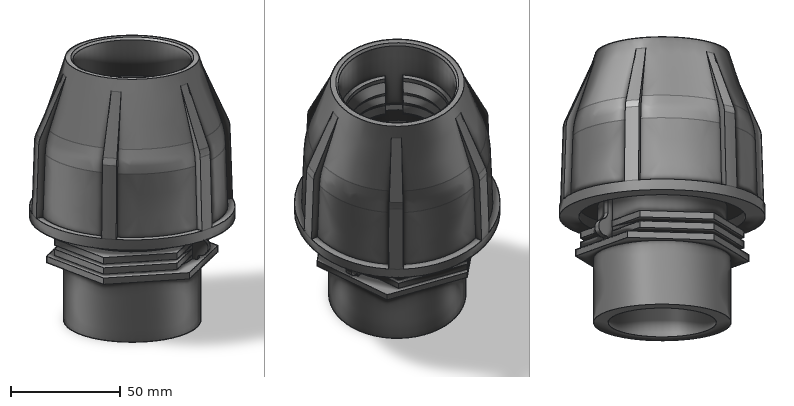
import cadquery as cq
import math


TOTAL_HEIGHT = 127.0
NUT_BOTTOM = 50.0
BUSH_TOP = 89.5
SLEEVE_TOP = 83.8

FLANGE_RADIUS = 47.0
FLANGE_THICKNESS = 5.0
FLANGE_TOP = NUT_BOTTOM + FLANGE_THICKNESS
NUT_BASE_RADIUS = 43.7
NUT_SHOULDER_RADIUS = 42.4
NUT_SHOULDER_Z = 91.0
NUT_SHOULDER_FILLET = 40.6
NUT_TOP_RADIUS = 30.6

RIB_COUNT = 6
RIB_ANGLE = 8.3
RIB_CENTRE_ANGLE = 36.0
RIB_SHOULDER_RADIUS = 45.7
RIB_SHOULDER_Z = 92.0
RIB_SHOULDER_FILLET = 8.9
RIB_TOP = 121.4
RIB_ROOT_DEPTH = 2.5

GRIP_BORE_RADIUS = 27.0
MOUTH_CHAMFER = 1.0
RELIEF_RADIUS = 28.5
RELIEF_TOP = 91.6
SLEEVE_RADIUS = 38.1

BODY_BORE_RADIUS = 49.4 / 2
SPIGOT_RADIUS = 62.9 / 2
NECK_RADIUS = 29.6
HEX_CORNER_DIAMETER = 79.8
HEX_THICKNESS = 3.0
HEX_PITCH = 5.0
HEX_SIDES = 6
HEX_COUNT = 3
SPIGOT_TOP = 30.2
HEX_TOP = SPIGOT_TOP + HEX_THICKNESS

FIN_THICKNESS = 3.0
FIN_EDGE = 32.0
LOBE_RADIUS = 4.1
LOBE_TIP = 37.2
LOBE_Z = 39.4
UPPER_HOLLOW_RADIUS = 3.8
LOWER_HOLLOW_RADIUS = 1.3

GRIP_TOP = 109.0
GRIP_OUTER_RADIUS = 26.5
GRIP_MOUTH_RADIUS = 24.4
GRIP_LAND = 2.0
TOOTH_TIP_RADIUS = 21.7
TOOTH_ROOT_RADIUS = 23.5
FIRST_TIP_Z = 102.5
TOOTH_PITCH = 6.1
TOOTH_COUNT = 3
TOOTH_LAND = 2.8
SPLIT_WIDTH = 8.0
SPLIT_ANGLE = 40.0

BUSH_TOP_BORE_RADIUS = 49.4 / 2
BUSH_BOTTOM_BORE_RADIUS = 24.0
SEAL_INNER_RADIUS = 23.4
SEAL_SECTION = 4.1


def revolve(points, angle=360):
    """Turn a closed outline of (radius, height) points about the Z axis."""
    return cq.Workplane("XZ").polyline(points).close().revolve(angle, (0, 0, 0), (0, 1, 0))


def edges_at_height(height):
    """Select the edges whose centre lies at a height."""
    reach = 2 * FLANGE_RADIUS
    margin = 0.1
    return cq.selectors.BoxSelector((-reach, -reach, height - margin), (reach, reach, height + margin))


def disc(radius, bottom, top):
    """Solid cylinder between two heights."""
    return cq.Workplane("XY").workplane(offset=bottom).circle(radius).extrude(top - bottom)


def nut_shell():
    shell = revolve([
        (0, NUT_BOTTOM),
        (FLANGE_RADIUS, NUT_BOTTOM),
        (FLANGE_RADIUS, FLANGE_TOP),
        (NUT_BASE_RADIUS, FLANGE_TOP),
        (NUT_SHOULDER_RADIUS, NUT_SHOULDER_Z),
        (NUT_TOP_RADIUS, TOTAL_HEIGHT),
        (0, TOTAL_HEIGHT),
    ])
    return shell.edges(edges_at_height(NUT_SHOULDER_Z)).fillet(NUT_SHOULDER_FILLET)


def nut_rib():
    """A wedge whose top end runs out into the upper cone of the nut."""
    cone_slope = (NUT_SHOULDER_RADIUS - NUT_TOP_RADIUS) / (TOTAL_HEIGHT - NUT_SHOULDER_Z)
    top_radius = NUT_TOP_RADIUS + cone_slope * (TOTAL_HEIGHT - RIB_TOP)
    rib = revolve([
        (NUT_BASE_RADIUS - RIB_ROOT_DEPTH, FLANGE_TOP),
        (FLANGE_RADIUS, FLANGE_TOP),
        (RIB_SHOULDER_RADIUS, RIB_SHOULDER_Z),
        (top_radius, RIB_TOP),
        (top_radius - RIB_ROOT_DEPTH, RIB_TOP),
        (NUT_SHOULDER_RADIUS - RIB_ROOT_DEPTH, NUT_SHOULDER_Z - RIB_ROOT_DEPTH),
    ], RIB_ANGLE)
    rib = rib.edges(edges_at_height(RIB_SHOULDER_Z)).fillet(RIB_SHOULDER_FILLET)
    middle = rib.val().Center()
    built_angle = math.degrees(math.atan2(middle.y, middle.x))
    return rib.rotate((0, 0, 0), (0, 0, 1), RIB_CENTRE_ANGLE - built_angle)


def nut_cavity():
    mouth_radius = GRIP_BORE_RADIUS + MOUTH_CHAMFER
    return revolve([
        (0, NUT_BOTTOM),
        (SLEEVE_RADIUS, NUT_BOTTOM),
        (SLEEVE_RADIUS, BUSH_TOP),
        (RELIEF_RADIUS, BUSH_TOP),
        (RELIEF_RADIUS, RELIEF_TOP),
        (GRIP_BORE_RADIUS, RELIEF_TOP),
        (GRIP_BORE_RADIUS, TOTAL_HEIGHT - MOUTH_CHAMFER),
        (mouth_radius, TOTAL_HEIGHT),
        (0, TOTAL_HEIGHT),
    ])


def make_nut():
    nut = nut_shell()
    rib = nut_rib()
    for index in range(RIB_COUNT):
        nut = nut.union(rib.rotate((0, 0, 0), (0, 0, 1), index * 360 / RIB_COUNT))
    return nut.cut(nut_cavity())


def hex_plate(index):
    """Hexagon with corners on Y; the plates above the first are trimmed flush with the neck."""
    bottom = SPIGOT_TOP + index * HEX_PITCH
    plate = (
        cq.Workplane("XY").workplane(offset=bottom)
        .polygon(HEX_SIDES, HEX_CORNER_DIAMETER).extrude(HEX_THICKNESS)
        .rotate((0, 0, 0), (0, 0, 1), 90)
    )
    if index == 0:
        return plate
    trim = (
        cq.Workplane("XY").workplane(offset=bottom)
        .rect(2 * NECK_RADIUS, 2 * FLANGE_RADIUS).extrude(HEX_THICKNESS)
    )
    return plate.intersect(trim)


def lobe_hollow(radius, side):
    """Start on the fin edge, middle and end on the lobe of a hollow arc above (+1) or below (-1) the lobe."""
    lobe_x = LOBE_TIP - LOBE_RADIUS
    centre_x = FIN_EDGE + radius
    reach = LOBE_RADIUS + radius
    rise = math.sqrt(reach ** 2 - (centre_x - lobe_x) ** 2)
    end_x = lobe_x + (centre_x - lobe_x) * LOBE_RADIUS / reach
    end_rise = rise * LOBE_RADIUS / reach
    end_angle = math.atan2(end_rise - rise, end_x - centre_x)
    middle_angle = (end_angle - math.pi) / 2
    middle_x = centre_x + radius * math.cos(middle_angle)
    middle_rise = rise + radius * math.sin(middle_angle)
    return (
        (FIN_EDGE, LOBE_Z + side * rise),
        (middle_x, LOBE_Z + side * middle_rise),
        (end_x, LOBE_Z + side * end_rise),
    )


def body_fins():
    """One plate across the body; each of its two edges carries a lobe."""
    lower_start, lower_middle, lower_end = lobe_hollow(LOWER_HOLLOW_RADIUS, -1)
    upper_start, upper_middle, upper_end = lobe_hollow(UPPER_HOLLOW_RADIUS, 1)
    half = (
        cq.Workplane("XZ")
        .moveTo(0, SPIGOT_TOP)
        .lineTo(FIN_EDGE, SPIGOT_TOP)
        .lineTo(*lower_start)
        .threePointArc(lower_middle, lower_end)
        .threePointArc((LOBE_TIP, LOBE_Z), upper_end)
        .threePointArc(upper_middle, upper_start)
        .lineTo(FIN_EDGE, FLANGE_TOP)
        .lineTo(0, FLANGE_TOP)
        .close()
        .extrude(FIN_THICKNESS / 2, both=True)
    )
    return half.union(half.mirror("YZ"))


def make_body():
    body = disc(SPIGOT_RADIUS, 0, HEX_TOP)
    body = body.union(disc(NECK_RADIUS, SPIGOT_TOP, SLEEVE_TOP))
    body = body.union(disc(SLEEVE_RADIUS, FLANGE_TOP, SLEEVE_TOP))
    for index in range(HEX_COUNT):
        body = body.union(hex_plate(index))
    body = body.union(body_fins())
    body = body.cut(disc(BODY_BORE_RADIUS, 0, SLEEVE_TOP))
    seal_seat = disc(SEAL_INNER_RADIUS + SEAL_SECTION, SLEEVE_TOP - SEAL_SECTION, SLEEVE_TOP)
    return body.cut(seal_seat)


def make_grip_ring():
    outline = [
        (GRIP_OUTER_RADIUS, BUSH_TOP),
        (GRIP_OUTER_RADIUS, GRIP_TOP),
        (GRIP_MOUTH_RADIUS, GRIP_TOP),
        (GRIP_MOUTH_RADIUS, GRIP_TOP - GRIP_LAND),
        (TOOTH_TIP_RADIUS, FIRST_TIP_Z),
    ]
    for index in range(1, TOOTH_COUNT):
        tip_z = FIRST_TIP_Z - index * TOOTH_PITCH
        previous_tip_z = tip_z + TOOTH_PITCH
        outline += [
            (TOOTH_ROOT_RADIUS, previous_tip_z),
            (TOOTH_ROOT_RADIUS, previous_tip_z - TOOTH_LAND),
            (TOOTH_TIP_RADIUS, tip_z),
        ]
    outline.append((TOOTH_TIP_RADIUS, BUSH_TOP))
    split = (
        cq.Workplane("XY").workplane(offset=BUSH_TOP)
        .center(FLANGE_RADIUS / 2, 0).rect(FLANGE_RADIUS, SPLIT_WIDTH).extrude(GRIP_TOP - BUSH_TOP)
        .rotate((0, 0, 0), (0, 0, 1), SPLIT_ANGLE)
    )
    return revolve(outline).cut(split)


def make_bush():
    return revolve([
        (BUSH_BOTTOM_BORE_RADIUS, SLEEVE_TOP),
        (SLEEVE_RADIUS, SLEEVE_TOP),
        (SLEEVE_RADIUS, BUSH_TOP),
        (BUSH_TOP_BORE_RADIUS, BUSH_TOP),
    ])


def make_seal():
    """Round-section ring that sits in the seat under the bush and stands proud of the bore."""
    section_radius = SEAL_SECTION / 2
    ring_radius = SEAL_INNER_RADIUS + section_radius
    return (
        cq.Workplane("XZ").moveTo(ring_radius, SLEEVE_TOP - section_radius)
        .circle(section_radius)
        .revolve(360, (0, 0, 0), (0, 1, 0))
    )


nut = make_nut()
body = make_body()
grip_ring = make_grip_ring()
bush = make_bush()
seal = make_seal()

result = cq.Compound.makeCompound([nut.val(), body.val(), grip_ring.val(), bush.val(), seal.val()])